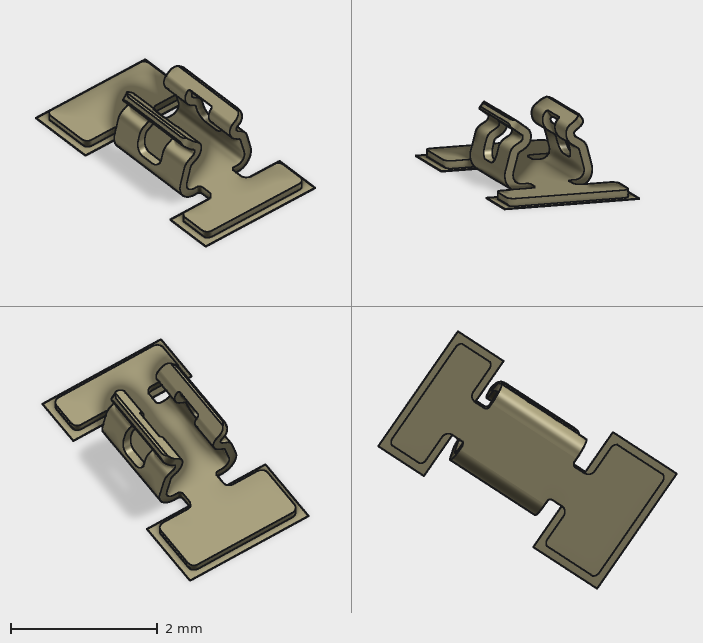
import cadquery as cq
import math

overall_length = 3.6
overall_width = 1.95
overall_height = 1.0

sheet = 0.12
left_end = -1.95
right_end = left_end + overall_length
solder_margin = 0.1
solder_thickness = 0.01
left_foot_length = 0.85
right_foot_length = 0.55
foot_width = 1.755
foot_corner_radius = 0.1
neck_width = 0.558
edge_chamfer = 0.03

left_foot_start = left_end + solder_margin
left_foot_stop = left_foot_start + left_foot_length
right_foot_stop = right_end - solder_margin
right_foot_start = right_foot_stop - right_foot_length

clip_length = 1.395
clip_width = 1.27
clip_root_radius = 0.05
base_bend_radius = 0.25
wall_lean = 15.0
wall_length = 0.255
shoulder_radius = 0.18
throat_lean = 60.0
throat_length = 0.075
throat_radius = 0.08
lip_bend_radius = 0.03
lip_rise = 37.0
lip_corner_radius = 0.15
bend_start = clip_width / 2 - base_bend_radius

window_width = 0.495
window_bottom_radius = 0.15
window_top_radius = 0.03
window_top_overrun = 0.015
wall_cut_height = 0.432
wall_cut_reach = 0.36
throat_cut_length = 0.18
throat_cut_reach = 0.18

wall_heading = 90 + wall_lean
throat_heading = 90 + throat_lean
vertical_heading = 90
lip_heading = lip_rise

bends = [
    (base_bend_radius, wall_heading, wall_length),
    (shoulder_radius, throat_heading, throat_length),
    (throat_radius, vertical_heading, 0),
    (lip_bend_radius, lip_heading, 0),
]


def step(point, heading, forward, left=0):
    """Move from a (y, z) point along a heading and to its left."""
    angle = math.radians(heading)
    return (
        point[0] + forward * math.cos(angle) - left * math.sin(angle),
        point[1] + forward * math.sin(angle) + left * math.cos(angle),
    )


def trace_face(depth):
    """Follow an arm at a depth below its outer face.

    Each piece is a list of points: two for a straight, three for an arc.
    """
    point = (bend_start, depth)
    heading = 0
    pieces = []
    for outer_radius, new_heading, run in bends:
        side = math.copysign(1, new_heading - heading)
        radius = side * outer_radius - depth
        centre = step(point, heading, 0, radius)
        middle = step(centre, (heading + new_heading) / 2, 0, -radius)
        end = step(centre, new_heading, 0, -radius)
        pieces.append([point, middle, end])
        heading = new_heading
        point = end
        if run > 0:
            point = step(end, heading, run)
            pieces.append([end, point])
    return pieces


outer_face = trace_face(0)
inner_face = trace_face(sheet)
wall_foot = outer_face[0][-1]
lip_start_outer = outer_face[-1][-1]
lip_start_inner = inner_face[-1][-1]

lip_climb = overall_height - lip_start_inner[1]
lip_length = lip_climb / math.sin(math.radians(lip_rise)) + edge_chamfer


def plate(x_start, x_stop, width, thickness):
    """Flat plate resting on Z = 0 and centred across Y."""
    block = cq.Workplane("XY").box(
        x_stop - x_start, width, thickness, centered=(False, True, False)
    )
    return block.translate((x_start, 0, 0))


def foot(x_start, x_stop):
    """One foot with its outer Y edges chamfered underneath."""
    block = plate(x_start, x_stop, foot_width, sheet)
    return block.faces("<Z").edges("|X").chamfer(edge_chamfer)


def solder_pad(x_start, x_stop):
    """Thin solder layer reaching past the foot on every side."""
    return plate(
        x_start - solder_margin, x_stop + solder_margin, overall_width, solder_thickness
    )


def fillet_upright_edges(body, x_low, x_high, y_limit, radius):
    """Round the vertical edges between two X positions and within y_limit of the centre line."""
    zone = cq.selectors.BoxSelector(
        (x_low, -y_limit, -overall_height), (x_high, y_limit, overall_height)
    )
    return body.edges("|Z").edges(zone).fillet(radius)


def make_base():
    """Feet, neck, clip floor and solder pads."""
    half_clip = clip_length / 2
    base = foot(left_foot_start, left_foot_stop)
    base = base.union(foot(right_foot_start, right_foot_stop))
    base = base.union(plate(left_foot_stop, right_foot_start, neck_width, sheet))
    base = base.union(plate(-half_clip, half_clip, 2 * bend_start, sheet))

    left_limit = left_foot_stop + foot_corner_radius
    right_limit = right_foot_start - foot_corner_radius
    base = fillet_upright_edges(base, left_end, left_limit, overall_width, foot_corner_radius)
    base = fillet_upright_edges(base, right_limit, right_end, overall_width, foot_corner_radius)

    root_x = half_clip + clip_root_radius / 2
    root_y = (neck_width / 2 + bend_start) / 2
    base = fillet_upright_edges(base, -root_x, root_x, root_y, clip_root_radius)

    base = base.union(solder_pad(left_foot_start, left_foot_stop))
    return base.union(solder_pad(right_foot_start, right_foot_stop))


def sheet_prism(origin, heading, span, width, reach):
    """Block across the arm, covering a (low, high) span along a heading from origin."""
    low, high = span
    outward = step((0, 0), heading - 90, 1)
    face_plane = cq.Plane(origin=(0, *origin), xDir=(-1, 0, 0), normal=(0, *outward))
    return (
        cq.Workplane(face_plane)
        .center(0, (low + high) / 2)
        .rect(width, high - low)
        .extrude(reach, both=True)
    )


def round_end(block, heading, radius):
    """Round the two corners at the end of a sheet_prism that a heading points to."""
    direction = cq.Vector(0, *step((0, 0), heading, 1))
    end_face = block.faces(cq.selectors.DirectionMinMaxSelector(direction))
    return end_face.edges("not |X").fillet(radius)


def make_window():
    """Cutter from the foot of the wall, through the throat, to just past the start of the lip.

    The wall is cut straight across in Y and the throat square to the lip.
    """
    wall_span = (0, wall_cut_height)
    wall_cut = sheet_prism(wall_foot, vertical_heading, wall_span, window_width, wall_cut_reach)
    wall_cut = round_end(wall_cut, vertical_heading + 180, window_bottom_radius)
    throat_span = (-throat_cut_length, window_top_overrun)
    throat_cut = sheet_prism(
        lip_start_outer, lip_heading, throat_span, window_width, throat_cut_reach
    )
    throat_cut = round_end(throat_cut, lip_heading, window_top_radius)
    return wall_cut.union(throat_cut)


def make_lip_blank():
    """Block around the whole arm whose rounded end gives the lip its corners."""
    reach = 2 * overall_height
    blank = sheet_prism(lip_start_outer, lip_heading, (-reach, lip_length), clip_length, reach)
    return round_end(blank, lip_heading, lip_corner_radius)


def add_pieces(outline, pieces):
    """Continue an outline along straights and arcs."""
    for piece in pieces:
        if len(piece) == 3:
            outline = outline.threePointArc(piece[1], piece[2])
        else:
            outline = outline.lineTo(*piece[1])
    return outline


def make_arm():
    """Arm on the +Y side, from the edge of the clip floor to its lip."""
    lip_end = [
        step(lip_start_outer, lip_heading, lip_length - edge_chamfer),
        step(lip_start_outer, lip_heading, lip_length, edge_chamfer),
        step(lip_start_inner, lip_heading, lip_length, -edge_chamfer),
        step(lip_start_inner, lip_heading, lip_length - edge_chamfer),
    ]
    outline = cq.Workplane("YZ").moveTo(bend_start, 0)
    outline = add_pieces(outline, outer_face)
    for point in lip_end:
        outline = outline.lineTo(*point)
    outline = outline.lineTo(*lip_start_inner)
    outline = add_pieces(outline, [piece[::-1] for piece in reversed(inner_face)])
    arm = outline.close().extrude(clip_length / 2, both=True)
    return arm.intersect(make_lip_blank()).cut(make_window())


arm = make_arm()
result = make_base().union(arm).union(arm.mirror("XZ"))